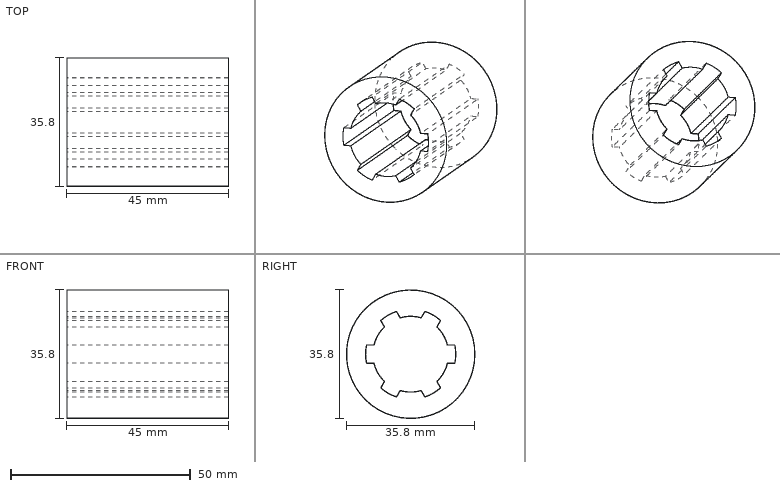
import cadquery as cq

LENGTH = 45.0
OUTER_DIAMETER = 35.75
BORE_DIAMETER = 21.0
GROOVE_DIAMETER = 25.0
GROOVE_WIDTH = 5.0
GROOVE_COUNT = 6


def make_cylinder(diameter):
    """Full-length cylinder along X, starting at X = 0."""
    return cq.Workplane("YZ").circle(diameter / 2).extrude(LENGTH)


def make_groove_bars():
    """Parallel-sided bars across the axis; each one forms two opposite grooves."""
    bar = cq.Workplane("YZ").rect(OUTER_DIAMETER, GROOVE_WIDTH).extrude(LENGTH)
    bars = bar
    for index in range(1, GROOVE_COUNT // 2):
        angle = index * 360.0 / GROOVE_COUNT
        bars = bars.union(bar.rotate((0, 0, 0), (1, 0, 0), angle))
    return bars


def make_spline_bore():
    """Bore with grooves whose floors are arcs concentric with the axis."""
    grooves = make_cylinder(GROOVE_DIAMETER).intersect(make_groove_bars())
    return make_cylinder(BORE_DIAMETER).union(grooves)


result = make_cylinder(OUTER_DIAMETER).cut(make_spline_bore())